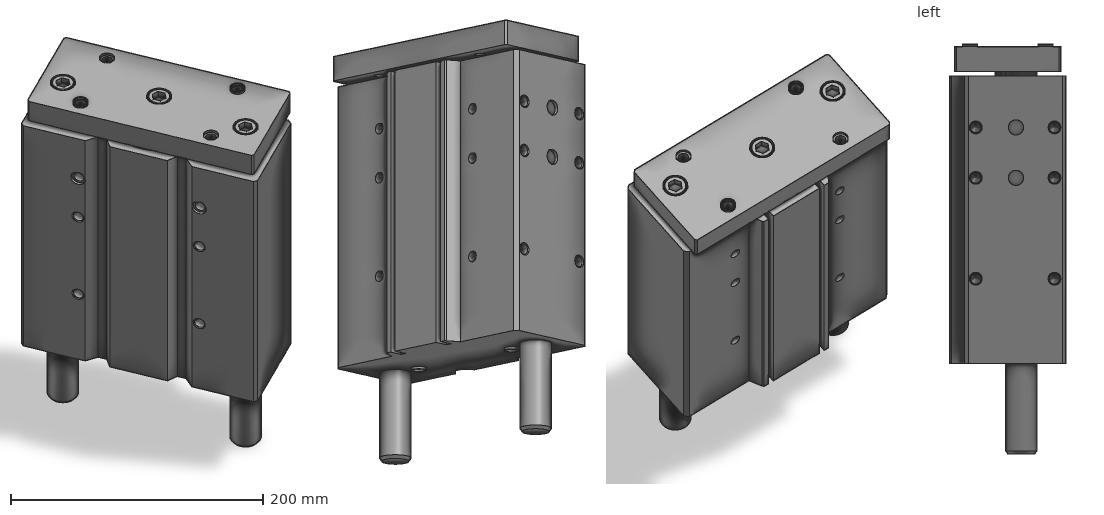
import cadquery as cq
import math


TOTAL_HEIGHT = 325.3

HOUSING_WIDTH = 200.0
HOUSING_BOTTOM = 72.0
HOUSING_HEIGHT = 228.5
HOUSING_TOP = HOUSING_BOTTOM + HOUSING_HEIGHT
HALF_WIDTH = HOUSING_WIDTH / 2
HOUSING_DEPTH = 92.0
FRONT_Y = -HOUSING_DEPTH / 2
BACK_Y = 34.5
FRONT_CHAMFER = 2.45
BACK_CHAMFER = 3.3

GROOVE_DEPTH = 7.8
GROOVE_MOUTH_INNER = 24.5
GROOVE_FLOOR_INNER = 30.0
GROOVE_FLOOR_OUTER = 37.5
GROOVE_MOUTH_OUTER = 45.2

RIB_TOP_Y = HOUSING_DEPTH / 2
RIB_HALF_BASE = 38.0
RIB_HALF_TOP = 33.0
RIB_CHAMFER = 1.3
SLOT_X = 25.0
SLOT_WIDTH = 5.0

HOLE_DIAMETER = 8.5
HOLE_MOUTH_DIAMETER = 10.0
HOLE_COUNTERSINK = (HOLE_MOUTH_DIAMETER - HOLE_DIAMETER) / 2
MOUNT_LEVELS = [139.2, 219.2, 259.3]
FRONT_HOLE_X = 51.5
SIDE_HOLE_YS = [-37.0, 25.5]
SIDE_HOLE_DEPTH = 13.0
DRILL_TIP_LENGTH = 2.5

COLLAR_DIAMETER = 12.0
COLLAR_BORE = HOLE_MOUTH_DIAMETER
COLLAR_HEIGHT = 2.0
SEAT_DEPTH = 2.3
SEAT_LEVEL = MOUNT_LEVELS[-1]

SIDE_RECESS_DIAMETER = 12.0
SIDE_RECESS_DEPTH = 3.0
SIDE_RECESS_Y = -6.5
SIDE_RECESS_LEVELS = MOUNT_LEVELS[1:]

TOP_RECESS_DIAMETER = 80.0
TOP_RECESS_DEPTH = 2.0

PLATE_TOP = TOTAL_HEIGHT - COLLAR_HEIGHT
PLATE_THICKNESS = 20.0
PLATE_BOTTOM = PLATE_TOP - PLATE_THICKNESS
PLATE_WIDTH = 192.0
PLATE_DEPTH = 84.3
PLATE_CHAMFER = 1.5
PLATE_HOLE_X = 55.3
PLATE_HOLE_Y = 30.0

ROD_DIAMETER = 25.0
ROD_X = 77.5
ROD_Y = -10.7
ROD_CHAMFER_HEIGHT = 2.5
ROD_CHAMFER_WIDTH = 2.0

PISTON_ROD_DIAMETER = 20.0
PISTON_ROD_Y = 0.3
PISTON_ROD_BOTTOM = HOUSING_BOTTOM + 20.0
FLAT_WIDTH = 17.0
FLATS_BOTTOM = HOUSING_TOP - TOP_RECESS_DEPTH

SCREW_HEAD_DIAMETER = 18.0
SCREW_HEAD_CHAMFER = 0.5
SOCKET_WIDTH = 10.0
SOCKET_CORNERS = SOCKET_WIDTH / math.cos(math.pi / 6)
SOCKET_DEPTH = 6.0
COUNTERBORE_DIAMETER = 20.0
COUNTERBORE_DEPTH = 12.0
SHANK_DIAMETER = 12.0
SHANK_REACH = 19.5
SCREW_SEAT = PLATE_TOP - COUNTERBORE_DEPTH
SCREW_BOTTOM = PLATE_BOTTOM - SHANK_REACH

GUIDE_PLACES = [(-ROD_X, ROD_Y), (ROD_X, ROD_Y)]
PISTON_PLACE = (0, PISTON_ROD_Y)
SCREW_PLACES = GUIDE_PLACES + [PISTON_PLACE]
BASE_COLLAR_PLACES = [(-FRONT_HOLE_X, ROD_Y), (FRONT_HOLE_X, ROD_Y)]
PLATE_COLLAR_PLACES = [(-PLATE_HOLE_X, -PLATE_HOLE_Y), (PLATE_HOLE_X, PLATE_HOLE_Y)]
PLATE_SEAT_PLACES = [(-PLATE_HOLE_X, PLATE_HOLE_Y), (PLATE_HOLE_X, -PLATE_HOLE_Y)]


def cylinder(place, diameter, bottom, top):
    """Upright cylinder centred at an (x, y) place."""
    return cq.Workplane("XY", origin=(*place, bottom)).circle(diameter / 2).extrude(top - bottom)


def collar(place, bottom):
    """Ring that stands out of a face to locate a mating part."""
    top = bottom + COLLAR_HEIGHT
    return cylinder(place, COLLAR_DIAMETER, bottom, top).cut(cylinder(place, COLLAR_BORE, bottom, top))


def hole_cutter(depth, tip_length):
    """Countersunk hole along +X from the origin; a tip length above zero ends it in a cone."""
    profile = [
        (0, 0),
        (0, HOLE_MOUTH_DIAMETER / 2),
        (HOLE_COUNTERSINK, HOLE_DIAMETER / 2),
        (depth, HOLE_DIAMETER / 2),
        (depth + tip_length, 0),
    ]
    return cq.Workplane("XY").polyline(profile).close().revolve(360, (0, 0, 0), (1, 0, 0))


def housing_block():
    """Extruded section of the housing, drawn for +X and mirrored."""
    groove_floor_y = FRONT_Y + GROOVE_DEPTH
    right_half = [
        (0, FRONT_Y),
        (GROOVE_MOUTH_INNER, FRONT_Y),
        (GROOVE_FLOOR_INNER, groove_floor_y),
        (GROOVE_FLOOR_OUTER, groove_floor_y),
        (GROOVE_MOUTH_OUTER, FRONT_Y),
        (HALF_WIDTH - FRONT_CHAMFER, FRONT_Y),
        (HALF_WIDTH, FRONT_Y + FRONT_CHAMFER),
        (HALF_WIDTH, BACK_Y - BACK_CHAMFER),
        (HALF_WIDTH - BACK_CHAMFER, BACK_Y),
        (RIB_HALF_BASE, BACK_Y),
        (RIB_HALF_TOP, RIB_TOP_Y - RIB_CHAMFER),
        (RIB_HALF_TOP - RIB_CHAMFER, RIB_TOP_Y),
        (SLOT_X + SLOT_WIDTH / 2, RIB_TOP_Y),
        (SLOT_X + SLOT_WIDTH / 2, BACK_Y),
        (SLOT_X - SLOT_WIDTH / 2, BACK_Y),
        (SLOT_X - SLOT_WIDTH / 2, RIB_TOP_Y),
        (0, RIB_TOP_Y),
    ]
    outline = cq.Workplane("XY", origin=(0, 0, HOUSING_BOTTOM)).polyline(right_half).mirrorY()
    return outline.extrude(HOUSING_HEIGHT)


def make_housing():
    body = housing_block()

    recess_floor = HOUSING_TOP - TOP_RECESS_DEPTH
    body = body.cut(cylinder(PISTON_PLACE, TOP_RECESS_DIAMETER, recess_floor, HOUSING_TOP))
    body = body.cut(cylinder(PISTON_PLACE, PISTON_ROD_DIAMETER, PISTON_ROD_BOTTOM, HOUSING_TOP))
    for place in GUIDE_PLACES:
        body = body.cut(cylinder(place, ROD_DIAMETER, HOUSING_BOTTOM, HOUSING_TOP))

    front_hole = hole_cutter(HOUSING_DEPTH, 0).rotate((0, 0, 0), (0, 0, 1), 90)
    for x in (-FRONT_HOLE_X, FRONT_HOLE_X):
        for z in MOUNT_LEVELS:
            body = body.cut(front_hole.translate((x, FRONT_Y, z)))
        seat = cq.Workplane("XZ", origin=(x, FRONT_Y, SEAT_LEVEL)).circle(COLLAR_DIAMETER / 2)
        body = body.cut(seat.extrude(-SEAT_DEPTH))

    side_hole = hole_cutter(SIDE_HOLE_DEPTH, DRILL_TIP_LENGTH)
    for y in SIDE_HOLE_YS:
        for z in MOUNT_LEVELS:
            body = body.cut(side_hole.translate((-HALF_WIDTH, y, z)))
    for z in SIDE_RECESS_LEVELS:
        recess = cq.Workplane("YZ", origin=(-HALF_WIDTH, SIDE_RECESS_Y, z)).circle(SIDE_RECESS_DIAMETER / 2)
        body = body.cut(recess.extrude(SIDE_RECESS_DEPTH))

    for place in BASE_COLLAR_PLACES:
        body = body.union(collar(place, HOUSING_BOTTOM - COLLAR_HEIGHT))
    return body


def make_plate():
    plate = cq.Workplane("XY", origin=(0, 0, PLATE_BOTTOM)).rect(PLATE_WIDTH, PLATE_DEPTH)
    plate = plate.extrude(PLATE_THICKNESS).edges("|Z").chamfer(PLATE_CHAMFER)
    for place in SCREW_PLACES:
        plate = plate.cut(cylinder(place, COUNTERBORE_DIAMETER, SCREW_SEAT, PLATE_TOP))
        plate = plate.cut(cylinder(place, SHANK_DIAMETER, PLATE_BOTTOM, SCREW_SEAT))
    for place in PLATE_COLLAR_PLACES + PLATE_SEAT_PLACES:
        plate = plate.cut(cylinder(place, HOLE_DIAMETER, PLATE_BOTTOM, PLATE_TOP))
    for place in PLATE_SEAT_PLACES:
        plate = plate.cut(cylinder(place, COLLAR_DIAMETER, PLATE_TOP - SEAT_DEPTH, PLATE_TOP))
    for place in PLATE_COLLAR_PLACES:
        plate = plate.union(collar(place, PLATE_TOP))
    return plate


def screw_bore(place):
    """Cutter for the screw hole in the upper end of a rod."""
    return cylinder(place, SHANK_DIAMETER, SCREW_BOTTOM, PLATE_BOTTOM)


def make_guide_rod(place):
    rod = cylinder(place, ROD_DIAMETER, 0, PLATE_BOTTOM)
    rod = rod.faces("<Z").chamfer(ROD_CHAMFER_HEIGHT, ROD_CHAMFER_WIDTH)
    return rod.cut(screw_bore(place))


def make_piston_rod():
    rod = cylinder(PISTON_PLACE, PISTON_ROD_DIAMETER, PISTON_ROD_BOTTOM, FLATS_BOTTOM)
    neck = cylinder(PISTON_PLACE, PISTON_ROD_DIAMETER, FLATS_BOTTOM, PLATE_BOTTOM)
    between_flats = cq.Workplane("XY", origin=(*PISTON_PLACE, FLATS_BOTTOM))
    between_flats = between_flats.rect(FLAT_WIDTH, PISTON_ROD_DIAMETER).extrude(PLATE_BOTTOM - FLATS_BOTTOM)
    rod = rod.union(neck.intersect(between_flats))
    return rod.cut(screw_bore(PISTON_PLACE))


def make_screw(place):
    head = cylinder(place, SCREW_HEAD_DIAMETER, SCREW_SEAT, PLATE_TOP)
    head = head.faces(">Z").chamfer(SCREW_HEAD_CHAMFER)
    socket = cq.Workplane("XY", origin=(*place, PLATE_TOP)).polygon(6, SOCKET_CORNERS)
    shank = cylinder(place, SHANK_DIAMETER, SCREW_BOTTOM, SCREW_SEAT)
    return head.cut(socket.extrude(-SOCKET_DEPTH)).union(shank)


housing = make_housing()
plate = make_plate()
guide_rods = [make_guide_rod(place) for place in GUIDE_PLACES]
piston_rod = make_piston_rod()
screws = [make_screw(place) for place in SCREW_PLACES]

result = cq.Compound.makeCompound([
    housing.val(),
    plate.val(),
    *[rod.val() for rod in guide_rods],
    piston_rod.val(),
    *[screw.val() for screw in screws],
])